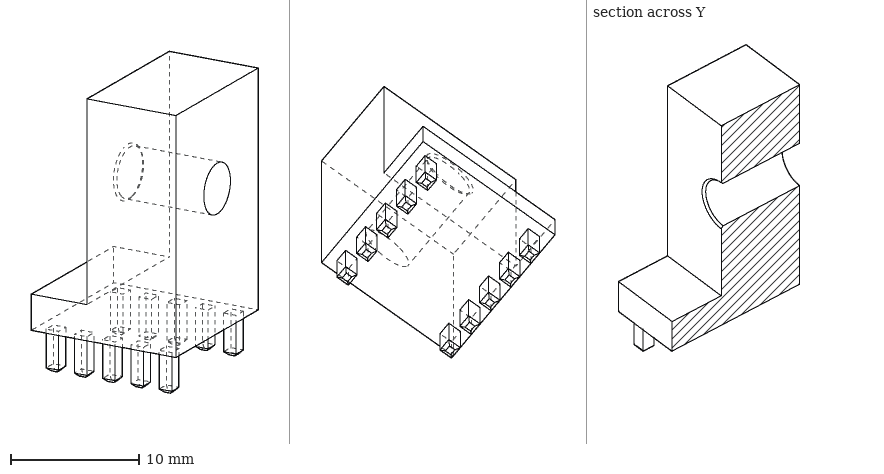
import cadquery as cq

body_width = 13.0
body_depth = 13.0
body_height = 20.0
foot_height = 3.0
wall_thickness = 8.0

hole_diameter = 4.2
hole_height = 12.0
hole_chamfer = 0.2

pin_width = 1.13
pin_length = 3.5
pin_tip_chamfer = 0.3
pin_pitch = 2.54
pins_per_row = 5
row_spacing = (pins_per_row - 1) * pin_pitch


def make_body():
    foot = cq.Workplane("XY").box(body_width, body_depth, foot_height, centered=(True, True, False))
    wall_center_x = (body_width - wall_thickness) / 2
    wall = (
        cq.Workplane("XY")
        .center(wall_center_x, 0)
        .box(wall_thickness, body_depth, body_height, centered=(True, True, False))
    )
    return foot.union(wall)


def make_hole_cutter():
    """Through hole with a small chamfer where it meets the wall face above the foot."""
    wall_front_x = body_width / 2 - wall_thickness
    wall_back_x = body_width / 2
    radius = hole_diameter / 2
    mouth_radius = radius + hole_chamfer
    half_profile = [
        (wall_front_x, 0),
        (wall_front_x, mouth_radius),
        (wall_front_x + hole_chamfer, radius),
        (wall_back_x, radius),
        (wall_back_x, 0),
    ]
    cutter = cq.Workplane("XY").polyline(half_profile).close().revolve(360, (0, 0, 0), (1, 0, 0))
    return cutter.translate((0, 0, hole_height))


def make_pin(x, y):
    """Square pin hanging from the underside, with a chamfered tip."""
    pin = (
        cq.Workplane("XY")
        .rect(pin_width, pin_width)
        .extrude(-pin_length)
        .faces("<Z")
        .chamfer(pin_tip_chamfer)
    )
    return pin.translate((x, y, 0))


result = make_body().cut(make_hole_cutter())
for row_y in (-row_spacing / 2, row_spacing / 2):
    for index in range(pins_per_row):
        pin_x = (index - (pins_per_row - 1) / 2) * pin_pitch
        result = result.union(make_pin(pin_x, row_y))